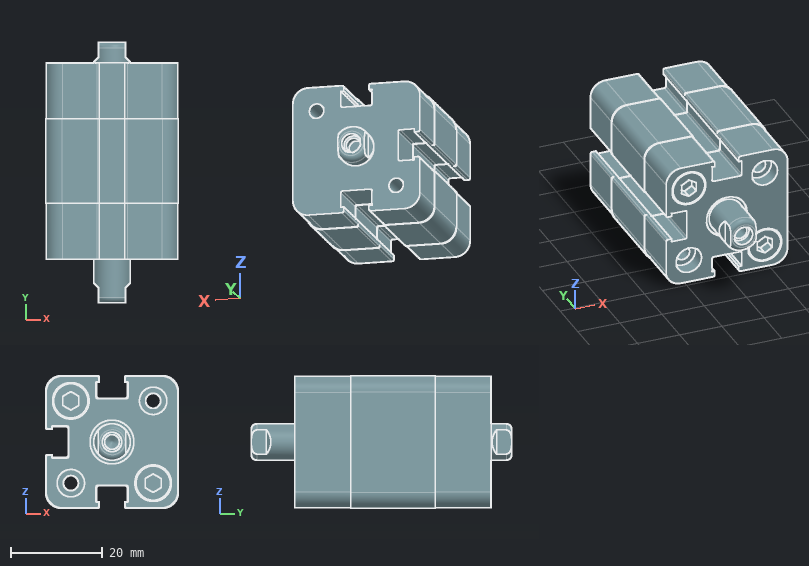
import cadquery as cq
import math

tube_side = 29.05
skin_step = 0.125
cap_side = tube_side - 2 * skin_step
tube_length = 18.5
cap_length = 12.25
body_length = tube_length + 2 * cap_length
corner_radius = 3.5
front_y = -body_length / 2

slot_opening = 5.65
tube_slot_floor = 9.6
cap_slot_floor = tube_slot_floor - skin_step
lip_underside = 13.1
tube_slot_width = 6.75
cap_slot_width = tube_slot_width + 2 * skin_step
slot_corner_radius = 0.4
tube_lip_radius = 0.35
cap_lip_radius = tube_lip_radius + skin_step
slot_angles = (0, 90, 180)

bolt_offset = 9.0
through_diameter = 3.24
counterbore_diameter = 6.0
counterbore_depth = 3.5
screw_recess_diameter = 8.0
screw_head_diameter = 7.5
screw_recess_depth = 4.0
hex_across_flats = 3.5
hex_depth = 2.5
hole_places = ((-bolt_offset, -bolt_offset), (bolt_offset, bolt_offset))
screw_places = ((-bolt_offset, bolt_offset), (bolt_offset, -bolt_offset))

rod_diameter = 8.0
rod_front_reach = 9.5
rod_back_reach = 4.5
rod_front_y = front_y - rod_front_reach
rod_back_y = -front_y + rod_back_reach
rod_end_radius = 1.25
flat_width = 6.0
flat_length = 3.3
rod_recess_diameter = 9.6
rod_recess_depth = 0.5

thread_diameter = 4.25
thread_depth = 2.0
drill_diameter = 3.24
drill_depth = 8.0
drill_tip_angle = 118.0


def xz_plane(y):
    """Sketch plane at the given Y: local x is X, local y is Z, extrusion runs toward +Y."""
    return cq.Workplane(cq.Plane(origin=(0, y, 0), xDir=(1, 0, 0), normal=(0, -1, 0)))


def cylinder(diameter, y_start, length, places=((0, 0),)):
    """Cylinders along Y from y_start toward +Y, at (x, z) places."""
    return xz_plane(y_start).pushPoints(places).circle(diameter / 2).extrude(-length)


def half_slot_cutter(half_side, slot_width, slot_floor, lip_radius, y_start, length):
    """-X half of a T-slot opening toward +Z, with its mouth edge and floor corner rounded."""
    half_mouth = slot_opening / 2
    half_width = slot_width / 2
    lip_slack = lip_radius * (1 - math.sqrt(0.5))
    floor_slack = slot_corner_radius * (1 - math.sqrt(0.5))
    return (
        xz_plane(y_start)
        .moveTo(-half_mouth - lip_radius, half_side)
        .threePointArc(
            (-half_mouth - lip_slack, half_side - lip_slack),
            (-half_mouth, half_side - lip_radius),
        )
        .lineTo(-half_mouth, lip_underside)
        .lineTo(-half_width, lip_underside)
        .lineTo(-half_width, slot_floor + slot_corner_radius)
        .threePointArc(
            (-half_width + floor_slack, slot_floor + floor_slack),
            (-half_width + slot_corner_radius, slot_floor),
        )
        .lineTo(0, slot_floor)
        .lineTo(0, half_side)
        .close()
        .extrude(-length)
    )


def body_section(side, slot_width, slot_floor, lip_radius, y_start, length):
    """Rounded square bar carrying the three T-slots."""
    section = xz_plane(y_start).rect(side, side).extrude(-length).edges("|Y").fillet(corner_radius)
    half_slot = half_slot_cutter(side / 2, slot_width, slot_floor, lip_radius, y_start, length)
    slot = half_slot.union(half_slot.mirror("YZ"))
    for angle in slot_angles:
        section = section.cut(slot.rotate((0, 0, 0), (0, -1, 0), angle))
    return section


def make_body():
    tube_start = front_y + cap_length
    tube = body_section(
        tube_side, tube_slot_width, tube_slot_floor, tube_lip_radius, tube_start, tube_length
    )
    front_cap = body_section(
        cap_side, cap_slot_width, cap_slot_floor, cap_lip_radius, front_y, cap_length
    )
    return tube.union(front_cap).union(front_cap.mirror("XZ"))


def cut_corner_holes(body):
    body = body.cut(cylinder(through_diameter, front_y, body_length, hole_places))
    return body.cut(cylinder(counterbore_diameter, front_y, counterbore_depth, hole_places))


def fit_screws(body):
    """Socket head screws sitting flush in their recesses."""
    body = body.cut(cylinder(screw_recess_diameter, front_y, screw_recess_depth, screw_places))
    body = body.union(cylinder(screw_head_diameter, front_y, screw_recess_depth, screw_places))
    hex_across_corners = hex_across_flats / math.cos(math.pi / 6)
    hex_socket = xz_plane(front_y).polygon(6, hex_across_corners).extrude(-hex_depth)
    hex_socket = hex_socket.rotate((0, 0, 0), (0, 1, 0), 90)
    for x, z in screw_places:
        body = body.cut(hex_socket.translate((x, 0, z)))
    return body


def rod_flat_cutter():
    """Cutter for the +X wrench flat at the rod's front end, ending in a 45 degree shoulder."""
    flat_x = flat_width / 2
    rod_radius = rod_diameter / 2
    shoulder = rod_front_y + flat_length
    return (
        cq.Workplane("XY")
        .moveTo(flat_x, rod_front_y)
        .lineTo(flat_x, shoulder)
        .lineTo(rod_radius, shoulder + rod_radius - flat_x)
        .lineTo(rod_radius, rod_front_y)
        .close()
        .extrude(rod_radius, both=True)
    )


def rod_hole_cutter():
    """Stepped blind hole with a conical bottom in the rod's front end."""
    drill_radius = drill_diameter / 2
    tip_length = drill_radius / math.tan(math.radians(drill_tip_angle / 2))
    drill_end = rod_front_y + drill_depth
    return (
        cq.Workplane("XY")
        .moveTo(0, rod_front_y)
        .lineTo(thread_diameter / 2, rod_front_y)
        .lineTo(thread_diameter / 2, rod_front_y + thread_depth)
        .lineTo(drill_radius, rod_front_y + thread_depth)
        .lineTo(drill_radius, drill_end)
        .lineTo(0, drill_end + tip_length)
        .close()
        .revolve(360, (0, 0, 0), (0, 1, 0))
    )


def make_rod():
    rod = cylinder(rod_diameter, rod_front_y, rod_back_y - rod_front_y)
    rod = rod.faces("<Y or >Y").edges().fillet(rod_end_radius)
    flat = rod_flat_cutter()
    end_cutter = rod_hole_cutter().union(flat).union(flat.mirror("YZ"))
    rod_middle_y = (rod_front_y + rod_back_y) / 2
    rod = rod.cut(end_cutter)
    return rod.cut(end_cutter.mirror("XZ", (0, rod_middle_y, 0)))


body = fit_screws(cut_corner_holes(make_body()))
body = body.cut(cylinder(rod_recess_diameter, front_y, rod_recess_depth))
result = body.union(make_rod())